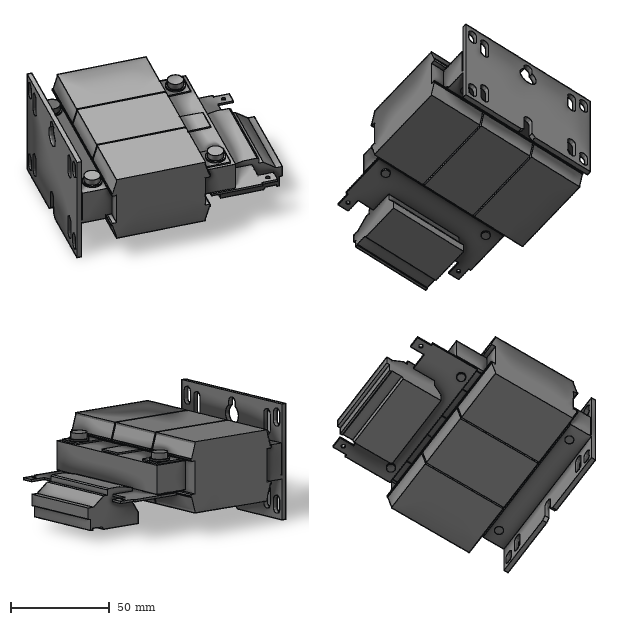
import cadquery as cq


plate_width = 79.8
plate_height = 60.0
plate_thickness = 2.5
slot_width = 4.9
outer_slot_x = 35.5
outer_slot_z = 22.5
outer_slot_length = 9.3
inner_slot_x = 27.9
inner_slot_z = 19.1
inner_slot_length = 13.2
keyhole_z = 18.3
keyhole_radius = 5.1
keyhole_neck_width = 5.1
keyhole_neck_z = 24.7
notch_width = 5.1
notch_centre_z = -19.3
notch_chamfer = 2.0

core_centre_z = 1.6
core_height = 15.0
core_width = plate_width
core_front = 3.0
core_back = 84.8
strap_thickness = 0.8
strap_back = 82.8
strap_top = core_centre_z + core_height / 2 + strap_thickness
strap_bottom = core_centre_z - core_height / 2 - strap_thickness
middle_tab_half_width = 6.2
outer_tab_inner_x = 25.8
outer_tab_outer_x = 38.3
outer_tab_chamfer = 0.5
tab_taper = 0.5

coil_total_width = 95.0
coil_gap = 0.8
middle_coil_width = 31.2
coil_height = 36.9
coil_front = 18.6
coil_back = 66.2
coil_centre_y = (coil_front + coil_back) / 2

flange_reach = 2.2
lip_reach = 2.8
flange_root_height = 17.2
flange_tip_height = 10.0
lip_height = 9.3
flange_underside_height = 8.6

bolt_x = 32.0
bolt_front_y = 10.8
bolt_back_y = 76.7
washer_radius = 5.1
washer_thickness = 0.8
head_radius = 4.2
head_height = 3.2
shank_radius = 2.3
shank_end_z = -9.0

foot_back = 15.3
foot_thickness = 2.1

carrier_front = 71.9
carrier_back = 99.3
carrier_thickness = 1.2
lug_x = 35.4
lug_width = 6.5
lug_back = 107.7
lug_hole_y = 103.5
lug_hole_radius = 1.0

block_width = 44.9
block_back = 115.6
block_profile = [
    (block_back, -11.7),
    (112.2, -11.7),
    (105.5, strap_bottom),
    (103.0, strap_bottom),
    (103.0, -3.9),
    (102.1, -3.4),
    (95.1, -3.4),
    (86.5, -5.0),
    (86.5, -12.4),
    (82.6, -18.4),
    (82.6, -24.0),
    (105.6, -24.0),
    (106.5, -22.7),
    (112.6, -22.7),
    (112.6, -23.6),
    (114.0, -23.6),
    (114.0, -17.9),
    (block_back, -17.6),
]


def box(x_range, y_range, z_range):
    """Box spanning the given (low, high) ranges."""
    (x0, x1), (y0, y1), (z0, z1) = x_range, y_range, z_range
    return cq.Workplane("XY").box(x1 - x0, y1 - y0, z1 - z0, centered=False).translate((x0, y0, z0))


def centred(width):
    """Range of the given width, symmetric about zero."""
    return (-width / 2, width / 2)


def cylinder(x, y, z_bottom, z_top, radius):
    return cq.Workplane("XY", origin=(x, y, z_bottom)).circle(radius).extrude(z_top - z_bottom)


def plate_cutter():
    """Workplane on the plate face; a negative extrusion runs through the plate along +Y."""
    return cq.Workplane("XZ")


def make_plate():
    """Back plate with mounting slots, hanging keyhole, bottom notch and a foot under the core."""
    plate = box(centred(plate_width), (0, plate_thickness), centred(plate_height))

    for slot_x, slot_z, length in (
        (outer_slot_x, outer_slot_z, outer_slot_length),
        (inner_slot_x, inner_slot_z, inner_slot_length),
    ):
        centres = [(sx * slot_x, sz * slot_z) for sx in (-1, 1) for sz in (-1, 1)]
        slots = plate_cutter().pushPoints(centres).slot2D(length, slot_width, 90)
        plate = plate.cut(slots.extrude(-plate_thickness))

    keyhole = plate_cutter().center(0, keyhole_z).circle(keyhole_radius).extrude(-plate_thickness)
    neck_half = keyhole_neck_width / 2
    neck = (
        plate_cutter()
        .moveTo(-neck_half, keyhole_z)
        .lineTo(-neck_half, keyhole_neck_z)
        .threePointArc((0, keyhole_neck_z + neck_half), (neck_half, keyhole_neck_z))
        .lineTo(neck_half, keyhole_z)
        .close()
        .extrude(-plate_thickness)
    )

    notch_half = notch_width / 2
    plate_bottom = -plate_height / 2
    notch = (
        plate_cutter()
        .moveTo(-notch_half - notch_chamfer, plate_bottom)
        .lineTo(-notch_half, plate_bottom + notch_chamfer)
        .lineTo(-notch_half, notch_centre_z)
        .threePointArc((0, notch_centre_z + notch_half), (notch_half, notch_centre_z))
        .lineTo(notch_half, plate_bottom + notch_chamfer)
        .lineTo(notch_half + notch_chamfer, plate_bottom)
        .close()
        .extrude(-plate_thickness)
    )
    plate = plate.cut(keyhole).cut(neck).cut(notch)

    foot = box(
        centred(plate_width),
        (plate_thickness, foot_back),
        (strap_bottom - foot_thickness, strap_bottom),
    )
    return plate.union(foot)


def make_core():
    """Core block just clear of the plate, with full-width front straps and three tapered back tabs."""
    half_height = core_height / 2
    core = box(
        centred(core_width),
        (core_front, core_back),
        (core_centre_z - half_height, core_centre_z + half_height),
    )
    strap_height = strap_top - strap_bottom
    front_strap = box(
        centred(core_width),
        (core_front, coil_centre_y),
        (strap_bottom, strap_top),
    )
    strap_plane = cq.Workplane("XY", origin=(0, 0, strap_bottom))
    middle_tab = (
        strap_plane
        .moveTo(-middle_tab_half_width, strap_back)
        .lineTo(middle_tab_half_width, strap_back)
        .lineTo(middle_tab_half_width + tab_taper, coil_back)
        .lineTo(-middle_tab_half_width - tab_taper, coil_back)
        .close()
        .extrude(strap_height)
    )
    outer_tab = (
        strap_plane
        .moveTo(outer_tab_inner_x, strap_back)
        .lineTo(outer_tab_outer_x - outer_tab_chamfer, strap_back)
        .lineTo(outer_tab_outer_x, strap_back - outer_tab_chamfer)
        .lineTo(outer_tab_outer_x, coil_back)
        .lineTo(outer_tab_inner_x - tab_taper, coil_back)
        .close()
        .extrude(strap_height)
    )
    core = core.union(front_strap).union(middle_tab)
    return core.union(outer_tab).union(outer_tab.mirror("YZ"))


def make_coil(x_low, x_high):
    """Coil body with a sloped, lipped flange on each end, above and below the core."""
    half_height = coil_height / 2
    coil = box(
        (x_low, x_high),
        (coil_front, coil_back),
        (core_centre_z - half_height, core_centre_z + half_height),
    )
    for end_y, outward in ((coil_front, -1), (coil_back, 1)):
        for up in (-1, 1):
            profile = [
                (0, flange_root_height),
                (flange_reach, flange_tip_height),
                (lip_reach, flange_tip_height),
                (lip_reach, lip_height),
                (flange_reach, flange_underside_height),
                (0, flange_underside_height),
            ]
            points = [(end_y + outward * reach, core_centre_z + up * height) for reach, height in profile]
            flange = cq.Workplane("YZ", origin=(x_low, 0, 0)).polyline(points).close()
            coil = coil.union(flange.extrude(x_high - x_low))
    return coil


def make_bolt(x, y):
    """Round-headed bolt with washer, passing down through the core."""
    washer_top = strap_top + washer_thickness
    washer = cylinder(x, y, strap_top, washer_top, washer_radius)
    head = cylinder(x, y, washer_top, washer_top + head_height, head_radius)
    shank = cylinder(x, y, shank_end_z, washer_top, shank_radius)
    return washer.union(head).union(shank)


def make_carrier():
    """Thin plate under the back of the core, with a drilled lug at each side."""
    z_range = (strap_bottom - carrier_thickness, strap_bottom)
    carrier = box(centred(plate_width), (carrier_front, carrier_back), z_range)
    for x in (-lug_x, lug_x):
        lug = box((x - lug_width / 2, x + lug_width / 2), (carrier_front, lug_back), z_range)
        hole = cylinder(x, lug_hole_y, *z_range, lug_hole_radius)
        carrier = carrier.union(lug).cut(hole)
    return carrier


def make_terminal_block():
    outline = cq.Workplane("YZ", origin=(-block_width / 2, 0, 0)).polyline(block_profile).close()
    return outline.extrude(block_width)


result = make_plate().union(make_core())

middle_half = middle_coil_width / 2
side_inner = middle_half + coil_gap
side_outer = coil_total_width / 2
for x_low, x_high in (
    (-side_outer, -side_inner),
    (-middle_half, middle_half),
    (side_inner, side_outer),
):
    result = result.union(make_coil(x_low, x_high))

result = result.union(make_carrier()).union(make_terminal_block())

for x in (-bolt_x, bolt_x):
    for y in (bolt_front_y, bolt_back_y):
        result = result.union(make_bolt(x, y))